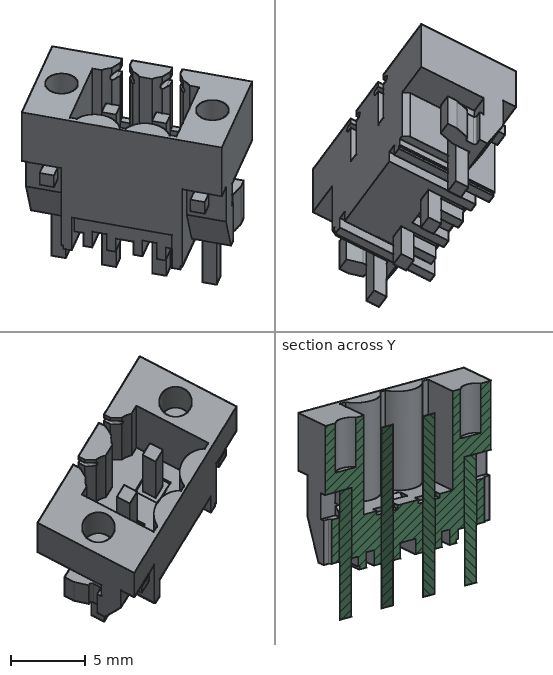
import cadquery as cq
import math


pin_size = 1.0
pin_y = 3.5
contact_x = 1.75
anchor_x = 3 * contact_x
contact_top = 13.01
anchor_front_y = 0.11

width = 13.95
depth = 7.45
top_z = 14.25
head_bottom_z = 9.25
head_front_bottom_z = 10.09
body_half = 4.23
body_bottom_z = 3.49
foot_bottom_z = 3.22
foot_inset = 0.14

cavity_half = 3.72
cavity_floor_z = 7.12
cavity_front_y = 0.34
cavity_back_y = 5.87
lobe_radius = 1.71
lobe_tip_y = 1.18
rib_gap_y = 0.21
bay_radius = 1.8
bay_center_y = 4.65
bay_shoulder = 0.73
key_half = 0.34
key_y = 6.95
key_floor_z = head_bottom_z
groove_half = 0.84
groove_top_z = 13.71
groove_bottom_z = 13.15
seat_size = 1.75
seat_depth = 0.28
pocket_width = 1.4
pocket_front_y = 1.17
pocket_slope_end_y = 1.57
pocket_back_y = 2.01
pocket_depth = 0.4

screw_diameter = 2.2
screw_y = depth / 2
screw_depth = 3.56

window_half = 3.49
window_depth = 0.67
window_top_z = 6.03
comb_half = 2.86
channel_top_z = 4.33
contact_slot_top_z = 4.57
middle_slot_width = 1.25

leg_front_y = 1.03
leg_back_y = 2.54
leg_bottom_z = 4.18
leg_slope_top_z = 7.15
leg_slope_end_y = 2.25
rail_half = anchor_x - pin_size / 2
rail_end_half = 4.5
rail_taper_y = 6.98
clip_top_z = 7.38
gusset_back_y = 2.9
gusset_top_z = 8.04
gusset_corner_z = 7.72
clip_inner = width / 2 - anchor_x - pin_size / 2
clip_tip_inset = 0.91
clip_tip_y = 5.37
clip_lead_y = 4.28
clip_outer_y = 4.66
clip_waist_inset = 0.28
clip_waist_y = 3.65
hinge_inset = 0.54
hinge_back_y = 3.48
hinge_front_y = 2.85
hinge_fillet = 0.17


def box(x0, x1, y0, y1, z0, z1):
    """Axis-aligned block between two opposite corners."""
    return cq.Workplane("XY").box(x1 - x0, y1 - y0, z1 - z0, centered=False).translate((x0, y0, z0))


def centered_box(half, y0, y1, z0, z1):
    return box(-half, half, y0, y1, z0, z1)


def side_prism(points, x0, x1):
    """(Y, Z) outline extruded from x0 to x1."""
    return cq.Workplane("YZ").polyline(points).close().extrude(x1 - x0).translate((x0, 0, 0))


def pin_bar(x, z0, z1):
    """Upright square bar at the pin row."""
    half = pin_size / 2
    return box(x - half, x + half, pin_y - half, pin_y + half, z0, z1)


def anchor_pin(x):
    """Upright tail bent forward into an arm under the head."""
    half = pin_size / 2
    arm = box(x - half, x + half, anchor_front_y, pin_y + half, head_bottom_z - pin_size, head_bottom_z)
    return pin_bar(x, 0, head_bottom_z).union(arm)


def contact_pin(x):
    return pin_bar(x, 0, contact_top)


def bay(x):
    """Rear bay behind one contact: round shoulders, 60 degree flanks and a key slot."""
    shoulder_y = bay_center_y + math.sqrt(bay_radius**2 - bay_shoulder**2)
    mouth_half = math.sqrt(bay_radius**2 - (cavity_back_y - bay_center_y) ** 2)
    arc_angle = (math.atan2(bay_shoulder, shoulder_y - bay_center_y)
                 + math.atan2(mouth_half, cavity_back_y - bay_center_y)) / 2
    arc_x = bay_radius * math.sin(arc_angle)
    arc_y = bay_center_y + bay_radius * math.cos(arc_angle)
    outline = (
        cq.Workplane("XY", origin=(x, 0, cavity_floor_z))
        .moveTo(-mouth_half, cavity_back_y)
        .threePointArc((-arc_x, arc_y), (-bay_shoulder, shoulder_y))
        .lineTo(-key_half, key_y)
        .lineTo(key_half, key_y)
        .lineTo(bay_shoulder, shoulder_y)
        .threePointArc((arc_x, arc_y), (mouth_half, cavity_back_y))
        .lineTo(mouth_half, pin_y)
        .lineTo(-mouth_half, pin_y)
        .close()
    )
    key_slot = box(x - key_half, x + key_half, pin_y, depth, key_floor_z, top_z)
    return outline.extrude(top_z - cavity_floor_z).union(key_slot)


def key_groove(x):
    """Round-sided groove along Y that widens the key slot below its rim."""
    height = groove_top_z - groove_bottom_z
    return (
        cq.Workplane("XZ", origin=(x, depth, (groove_top_z + groove_bottom_z) / 2))
        .slot2D(2 * groove_half, height)
        .extrude(depth - bay_center_y)
    )


def plug_cavity():
    space = centered_box(cavity_half, cavity_front_y, cavity_back_y, cavity_floor_z, top_z)
    space = space.union(centered_box(contact_x, rib_gap_y, cavity_back_y, cavity_floor_z, top_z))
    for x in (-contact_x, contact_x):
        lobe = (
            cq.Workplane("XY", origin=(x, lobe_tip_y - lobe_radius, cavity_floor_z))
            .circle(lobe_radius)
            .extrude(top_z - cavity_floor_z)
        )
        space = space.cut(lobe).union(bay(x)).union(key_groove(x))
        seat = cq.Workplane("XY", origin=(x, pin_y, cavity_floor_z)).rect(seat_size, seat_size)
        space = space.union(seat.extrude(-seat_depth))
    pocket_floor_z = cavity_floor_z - pocket_depth
    pocket = side_prism(
        [
            (pocket_front_y, cavity_floor_z),
            (pocket_slope_end_y, pocket_floor_z),
            (pocket_back_y, pocket_floor_z),
            (pocket_back_y, cavity_floor_z),
        ],
        -pocket_width / 2,
        pocket_width / 2,
    )
    return space.union(pocket)


def underside_cut():
    """Front window, two through channels and the three slots of the comb."""
    cut = centered_box(window_half, 0, window_depth, foot_bottom_z, window_top_z)
    channels = centered_box(window_half, 0, depth, foot_bottom_z, channel_top_z)
    comb = centered_box(comb_half, 0, depth, foot_bottom_z, channel_top_z)
    cut = cut.union(channels.cut(comb))
    cut = cut.union(centered_box(middle_slot_width / 2, 0, pin_y, foot_bottom_z, channel_top_z))
    for x in (-contact_x, contact_x):
        half = pin_size / 2
        cut = cut.union(box(x - half, x + half, 0, pin_y, foot_bottom_z, contact_slot_top_z))
    return cut


def left_leg():
    """Sloped leg, side rail, gusset and pin clip at the -X end."""
    end_x = -width / 2
    leg = side_prism(
        [
            (leg_front_y, head_front_bottom_z),
            (leg_front_y, leg_slope_top_z),
            (leg_slope_end_y, leg_bottom_z),
            (leg_back_y, leg_bottom_z),
            (leg_back_y, head_front_bottom_z),
        ],
        end_x,
        -body_half,
    )
    rail = (
        cq.Workplane("XY", origin=(0, 0, leg_bottom_z))
        .polyline([
            (-body_half, leg_back_y),
            (-rail_half, leg_back_y),
            (-rail_half, rail_taper_y),
            (-rail_end_half, depth),
            (-body_half, depth),
        ])
        .close()
        .extrude(head_bottom_z - leg_bottom_z)
    )
    gusset = side_prism(
        [
            (leg_back_y, leg_bottom_z),
            (leg_back_y, gusset_top_z),
            (gusset_back_y, gusset_corner_z),
            (gusset_back_y, leg_bottom_z),
        ],
        end_x + clip_inner,
        -body_half,
    )
    bend = hinge_fillet * (1 - math.cos(math.pi / 4))
    clip = (
        cq.Workplane("XY", origin=(end_x, 0, leg_bottom_z))
        .moveTo(0, leg_back_y)
        .lineTo(0, hinge_front_y)
        .lineTo(hinge_inset - hinge_fillet, hinge_front_y)
        .threePointArc(
            (hinge_inset - bend, hinge_front_y + bend),
            (hinge_inset, hinge_front_y + hinge_fillet),
        )
        .lineTo(hinge_inset, hinge_back_y)
        .tangentArcPoint((clip_waist_inset, clip_waist_y), relative=False)
        .lineTo(0, clip_outer_y)
        .lineTo(0, clip_tip_y)
        .lineTo(clip_tip_inset, clip_tip_y)
        .lineTo(clip_inner, clip_lead_y)
        .lineTo(clip_inner, leg_back_y)
        .close()
        .extrude(clip_top_z - leg_bottom_z)
    )
    return leg.union(rail).union(gusset).union(clip)


def make_housing(pins):
    head = centered_box(width / 2, 0, depth, head_bottom_z, top_z)
    for side in (-1, 1):
        edges = sorted((side * body_half, side * width / 2))
        head = head.cut(box(*edges, 0, leg_front_y, head_bottom_z, head_front_bottom_z))
    body = centered_box(body_half, 0, depth, body_bottom_z, head_bottom_z)
    foot = centered_box(body_half - foot_inset, 0, depth, foot_bottom_z, body_bottom_z)
    leg = left_leg()
    housing = head.union(body).union(foot).union(leg).union(leg.mirror("YZ"))
    housing = housing.cut(plug_cavity()).cut(underside_cut())
    for x in (-anchor_x, anchor_x):
        screw_hole = cq.Workplane("XY", origin=(x, screw_y, top_z)).circle(screw_diameter / 2)
        housing = housing.cut(screw_hole.extrude(-screw_depth))
    for pin in pins:
        housing = housing.cut(pin)
    return housing


contact_pins = [contact_pin(x) for x in (-contact_x, contact_x)]
anchor_pins = [anchor_pin(x) for x in (-anchor_x, anchor_x)]
all_pins = contact_pins + anchor_pins
housing = make_housing(all_pins)

result = cq.Compound.makeCompound([housing.val(), *[pin.val() for pin in all_pins]])